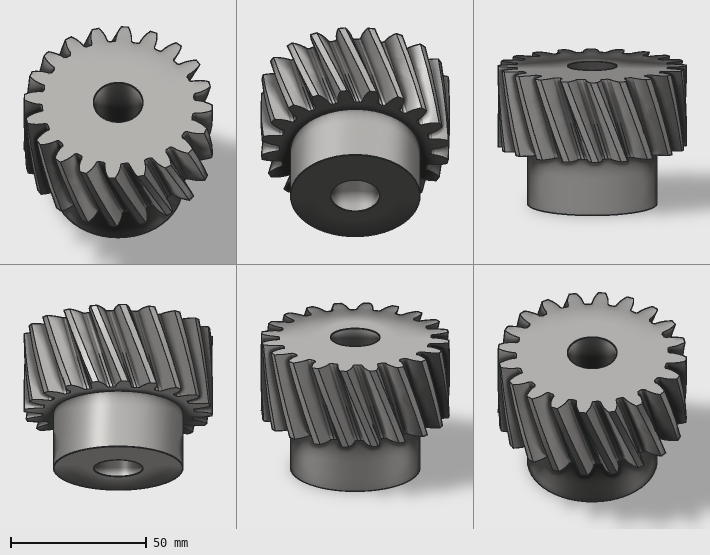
import cadquery as cq
import math

outer_diameter = 69.65
tooth_count = 20
helix_angle = math.radians(19.53)
dedendum_in_modules = 1.25
tip_land = 2.5
root_gap_width = 3.05
root_fillet = 1.05
face_width = 30.0
overall_height = 52.0
hub_diameter = 48.0
edge_chamfer = 0.2
bore_diameter = 18.0

tip_radius = outer_diameter / 2
module = outer_diameter / (tooth_count / math.cos(helix_angle) + 2)
pitch_radius = tip_radius - module
root_radius = pitch_radius - dedendum_in_modules * module
hub_height = overall_height - face_width
twist_degrees = -math.degrees(face_width * math.tan(helix_angle) / pitch_radius)

tooth_pitch = 2 * math.pi / tooth_count
tip_half_angle = (tooth_pitch - tip_land / tip_radius) / 2
pitch_half_angle = tooth_pitch / 4
root_half_angle = root_gap_width / root_radius / 2


def polar(radius, angle):
    return (radius * math.cos(angle), radius * math.sin(angle))


def circle_center(a, b, c):
    """Centre of the circle through three points."""
    twice_area = (b[0] - a[0]) * (c[1] - a[1]) - (c[0] - a[0]) * (b[1] - a[1])
    ab_squared = (b[0] - a[0]) ** 2 + (b[1] - a[1]) ** 2
    ac_squared = (c[0] - a[0]) ** 2 + (c[1] - a[1]) ** 2
    x = ((c[1] - a[1]) * ab_squared - (b[1] - a[1]) * ac_squared) / (2 * twice_area)
    y = ((b[0] - a[0]) * ac_squared - (c[0] - a[0]) * ab_squared) / (2 * twice_area)
    return (a[0] + x, a[1] + y)


def toward(start, end, distance):
    """Point at the given distance from start, in the direction of end."""
    ratio = distance / math.dist(start, end)
    return (start[0] + ratio * (end[0] - start[0]), start[1] + ratio * (end[1] - start[1]))


axis = (0, 0)
flank_tip = polar(tip_radius, tip_half_angle)
flank_middle = polar(pitch_radius, pitch_half_angle)
flank_center = circle_center(flank_tip, flank_middle, polar(root_radius, root_half_angle))
flank_radius = math.dist(flank_center, flank_tip)

fillet_center_radius = root_radius + root_fillet
flank_center_radius = math.dist(axis, flank_center)
angle_from_flank_center = math.acos(
    (fillet_center_radius**2 + flank_center_radius**2 - (flank_radius + root_fillet) ** 2)
    / (2 * fillet_center_radius * flank_center_radius)
)
fillet_angle = math.atan2(flank_center[1], flank_center[0]) - angle_from_flank_center
fillet_center = polar(fillet_center_radius, fillet_angle)
fillet_end = toward(fillet_center, flank_center, root_fillet)
fillet_start = polar(root_radius, fillet_angle)
fillet_chord_middle = ((fillet_start[0] + fillet_end[0]) / 2, (fillet_start[1] + fillet_end[1]) / 2)
fillet_middle = toward(fillet_center, fillet_chord_middle, root_fillet)


def placed(point, gap_angle, side=1):
    """Point of the gap side turned to its gap, mirrored when side is -1."""
    angle = gap_angle + side * math.atan2(point[1], point[0])
    return polar(math.dist(axis, point), angle)


def gear_outline():
    """Closed tooth outline, with one gap centred on the +X direction."""
    outline = cq.Workplane("XY", origin=(0, 0, hub_height)).moveTo(*placed(flank_tip, 0, -1))
    for i in range(tooth_count):
        gap = i * tooth_pitch
        next_gap = (i + 1) * tooth_pitch
        outline = (
            outline.threePointArc(placed(flank_middle, gap, -1), placed(fillet_end, gap, -1))
            .threePointArc(placed(fillet_middle, gap, -1), placed(fillet_start, gap, -1))
            .threePointArc(polar(root_radius, gap), placed(fillet_start, gap))
            .threePointArc(placed(fillet_middle, gap), placed(fillet_end, gap))
            .threePointArc(placed(flank_middle, gap), placed(flank_tip, gap))
            .threePointArc(polar(tip_radius, gap + tooth_pitch / 2), placed(flank_tip, next_gap, -1))
        )
    return outline.close()


gear = gear_outline().twistExtrude(face_width, twist_degrees)
hub = cq.Workplane("XY").circle(hub_diameter / 2).extrude(hub_height)
hub = hub.edges("%CIRCLE").chamfer(edge_chamfer)

bore_radius = bore_diameter / 2
mouth_radius = bore_radius + edge_chamfer
bore = (
    cq.Workplane("XZ")
    .moveTo(0, 0)
    .lineTo(mouth_radius, 0)
    .lineTo(bore_radius, edge_chamfer)
    .lineTo(bore_radius, overall_height - edge_chamfer)
    .lineTo(mouth_radius, overall_height)
    .lineTo(0, overall_height)
    .close()
    .revolve(360, (0, 0, 0), (0, 1, 0))
)

result = gear.union(hub).cut(bore)